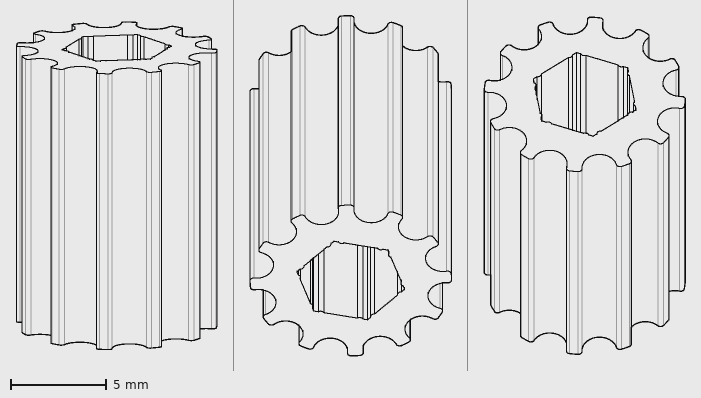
import cadquery as cq
import math

LENGTH = 15.0
TOOTH_COUNT = 12
TIP_RADIUS = 5.3

GROOVE_RADIUS = 0.92
ROOT_RADIUS = 4.17
GROOVE_CENTER_RADIUS = ROOT_RADIUS + GROOVE_RADIUS
TOOTH_EDGE_FILLET = 0.2

BORE_SIDES = 6
BORE_FLAT_DISTANCE = 2.5
BORE_CORNER_RADIUS = BORE_FLAT_DISTANCE / math.cos(math.pi / BORE_SIDES)
RIDGE_OFFSET = 1.05
RIDGE_HALF_WIDTH = 0.15
RIDGE_HEIGHT = 0.068
RIDGE_RADIUS = (RIDGE_HALF_WIDTH**2 + RIDGE_HEIGHT**2) / (2 * RIDGE_HEIGHT)


def make_toothed_body():
    """Round bar with a ring of grooves, one of them centred on +X."""
    blank = cq.Workplane("XY").circle(TIP_RADIUS).extrude(LENGTH)
    grooves = (
        cq.Workplane("XY")
        .polarArray(GROOVE_CENTER_RADIUS, 0, 360, TOOTH_COUNT)
        .circle(GROOVE_RADIUS)
        .extrude(LENGTH)
    )
    return blank.cut(grooves).edges("|Z").fillet(TOOTH_EDGE_FILLET)


def make_bore():
    """Hexagonal core with corners on +Y and -Y, notched to leave the ridges."""
    core = (
        cq.Workplane("XY")
        .polygon(BORE_SIDES, 2 * BORE_CORNER_RADIUS)
        .extrude(LENGTH)
        .rotate((0, 0, 0), (0, 0, 1), 180 / BORE_SIDES)
    )
    ridge_center_x = BORE_FLAT_DISTANCE + RIDGE_RADIUS - RIDGE_HEIGHT
    ridge_pair = (
        cq.Workplane("XY")
        .pushPoints([(ridge_center_x, -RIDGE_OFFSET), (ridge_center_x, RIDGE_OFFSET)])
        .circle(RIDGE_RADIUS)
        .extrude(LENGTH)
    )
    for side in range(BORE_SIDES):
        core = core.cut(ridge_pair.rotate((0, 0, 0), (0, 0, 1), side * 360 / BORE_SIDES))
    return core


result = make_toothed_body().cut(make_bore())